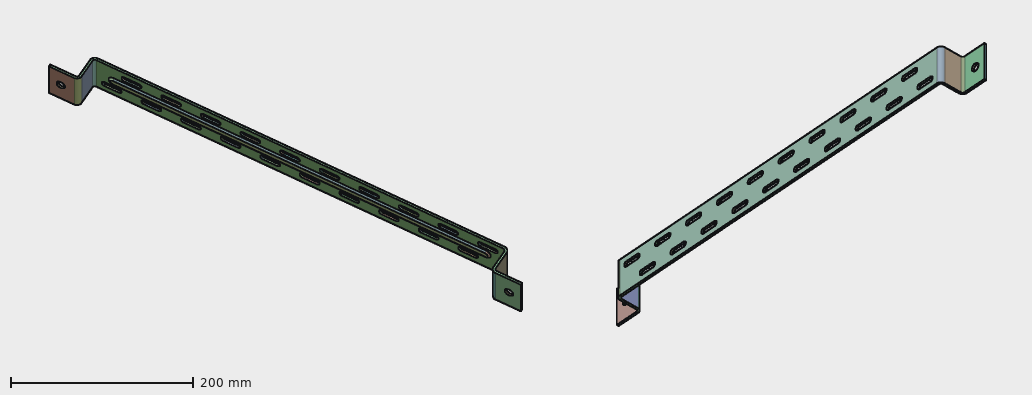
import cadquery as cq
import math

length = 596.0
depth = 36.0
height = 50.0

thickness = 3.0
inner_bend_radius = 3.0
outer_bend_radius = inner_bend_radius + thickness
flange_length = 38.0

hole_diameter = 10.5
hole_end_distance = 15.0

slot_length = 25.0
slot_width = 7.0
slot_pitch = 50.0
slots_per_row = 10
slot_row_offset = 13.0
slot_stagger = slot_pitch / 4

bead_length = 482.5
bead_width = 12.5
bead_crest_width = 7.0
bead_rise = 2.0
bead_slope_angle = math.degrees(math.atan((bead_width - bead_crest_width) / 2 / bead_rise))

half_length = length / 2
leg_inner_x = half_length - flange_length
leg_outer_x = leg_inner_x + thickness
rail_front_y = depth - thickness


def front_plane(y):
    """Plane parallel to XZ at the given Y, facing the front (-Y)."""
    return cq.Workplane("XZ", origin=(0, y, 0))


def make_bent_sheet():
    """Hat-shaped strip: a rail, two legs and two end flanges, with rounded bends."""
    outline = [
        (-half_length, 0),
        (-leg_inner_x, 0),
        (-leg_inner_x, rail_front_y),
        (leg_inner_x, rail_front_y),
        (leg_inner_x, 0),
        (half_length, 0),
        (half_length, thickness),
        (leg_outer_x, thickness),
        (leg_outer_x, depth),
        (-leg_outer_x, depth),
        (-leg_outer_x, thickness),
        (-half_length, thickness),
    ]
    sheet = cq.Workplane("XY").polyline(outline).close().extrude(height / 2, both=True)
    reach = thickness / 2
    bends = [
        (leg_inner_x, 0, outer_bend_radius),
        (leg_outer_x, depth, outer_bend_radius),
        (leg_inner_x, rail_front_y, inner_bend_radius),
        (leg_outer_x, thickness, inner_bend_radius),
    ]
    for x, y, radius in bends:
        for side in (-1, 1):
            corner = cq.selectors.BoxSelector(
                (side * x - reach, y - reach, -reach),
                (side * x + reach, y + reach, reach),
            )
            sheet = sheet.edges("|Z").edges(corner).fillet(radius)
    return sheet


def make_bead():
    """Round-ended bead with sloping sides and a flat crest, rising toward the front."""
    outline = front_plane(rail_front_y).slot2D(bead_length, bead_width)
    return outline.extrude(bead_rise, taper=bead_slope_angle)


def make_flange_holes():
    """Cutters for the one round hole in each end flange."""
    hole_x = half_length - hole_end_distance
    return (
        front_plane(thickness)
        .pushPoints([(-hole_x, 0), (hole_x, 0)])
        .circle(hole_diameter / 2)
        .extrude(thickness)
    )


def make_slots():
    """Cutters for the slots: the upper row is shifted right, the lower row left."""
    centres = []
    for side in (-1, 1):
        for index in range(slots_per_row):
            row_x = (index - (slots_per_row - 1) / 2) * slot_pitch
            centres.append((row_x + side * slot_stagger, side * slot_row_offset))
    return front_plane(depth).pushPoints(centres).slot2D(slot_length, slot_width).extrude(thickness)


result = make_bent_sheet().union(make_bead()).cut(make_flange_holes()).cut(make_slots())